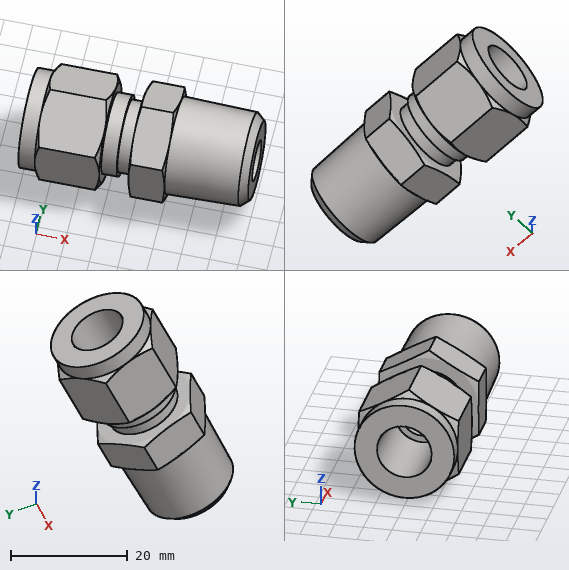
import cadquery as cq
import math

total_length = 39.87
across_flats = 17.45
across_corners = across_flats / math.cos(math.radians(30))

nut_hex_start = 2.87
nut_hex_end = 14.2
shoulder_end = 16.85
body_hex_start = 19.3
body_hex_end = 25.6
taper_start = 26.07
end_chamfer_start = 38.45

shoulder_diameter = 14.27
neck_diameter = 12.75
thread_base_diameter = 17.02
thread_tip_diameter = 16.4
end_face_diameter = 13.85
tube_socket_diameter = 9.55
bore_diameter = 7.15

tube_socket_depth = nut_hex_end

nut_chamfer_angle = 30.0
body_chamfer_angle = 15.0


def revolve_about_x(points):
    """Solid of revolution about X from a closed outline of (x, radius) points."""
    outline = cq.Workplane("XZ").polyline(points).close()
    return outline.revolve(360, (0, 0, 0), (1, 0, 0))


def cylinder(start, end, diameter):
    radius = diameter / 2
    return revolve_about_x([(start, 0), (start, radius), (end, radius), (end, 0)])


def chamfered_hexagon(start, end, chamfer_angle):
    """Hexagonal prism with corners up and down, turned conically at both ends."""
    face_radius = across_flats / 2
    corner_radius = across_corners / 2
    corner_angles = [math.radians(60 * i) for i in range(6)]
    corner_points = [
        (corner_radius * math.sin(angle), corner_radius * math.cos(angle))
        for angle in corner_angles
    ]
    corners = cq.Workplane("YZ", origin=(start, 0, 0)).polyline(corner_points)
    prism = corners.close().extrude(end - start)
    setback = (corner_radius - face_radius) * math.tan(math.radians(chamfer_angle))
    envelope = revolve_about_x([
        (start, 0),
        (start, face_radius),
        (start + setback, corner_radius),
        (end - setback, corner_radius),
        (end, face_radius),
        (end, 0),
    ])
    return prism.intersect(envelope)


def threaded_end():
    """Short cylinder, long taper and end chamfer in place of the pipe thread."""
    return revolve_about_x([
        (body_hex_end, 0),
        (body_hex_end, thread_base_diameter / 2),
        (taper_start, thread_base_diameter / 2),
        (end_chamfer_start, thread_tip_diameter / 2),
        (total_length, end_face_diameter / 2),
        (total_length, 0),
    ])


nut = cylinder(0, nut_hex_start, across_flats).union(
    chamfered_hexagon(nut_hex_start, nut_hex_end, nut_chamfer_angle)
)
shoulder = cylinder(nut_hex_end, shoulder_end, shoulder_diameter)
neck = cylinder(shoulder_end, body_hex_start, neck_diameter)
body_hexagon = chamfered_hexagon(body_hex_start, body_hex_end, body_chamfer_angle)

fitting = nut.union(shoulder).union(neck).union(body_hexagon).union(threaded_end())
tube_socket = cylinder(0, tube_socket_depth, tube_socket_diameter)
bore = cylinder(0, total_length, bore_diameter)

result = fitting.cut(tube_socket).cut(bore)